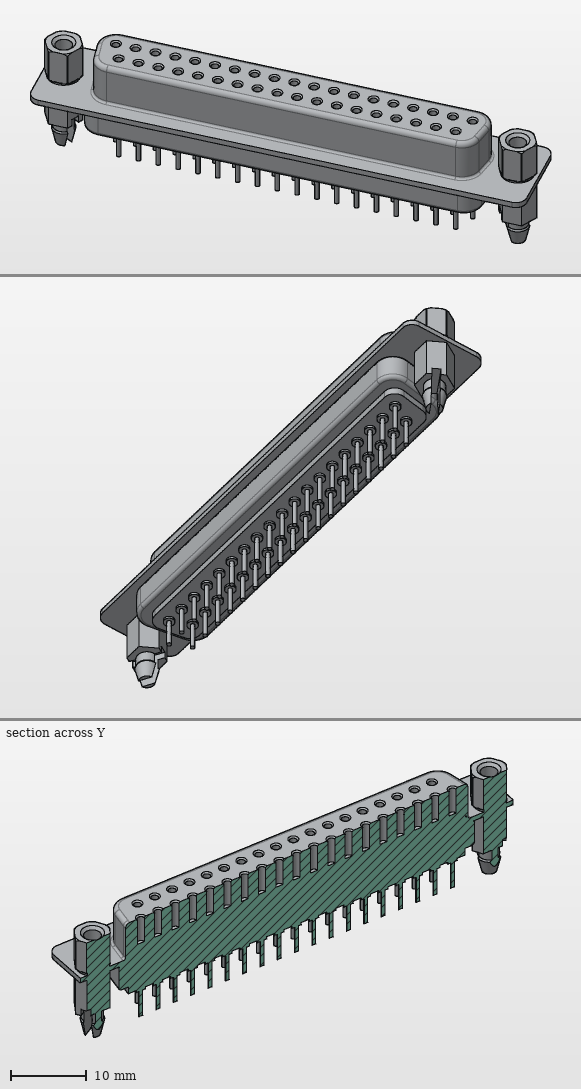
import cadquery as cq
import math


FLANGE_LENGTH = 69.3
FLANGE_WIDTH = 12.55
FLANGE_THICKNESS = 0.8
FLANGE_CORNER_RADIUS = 1.5

END_SLOPE = math.radians(10)

SHELL_LENGTH = 54.5
SHELL_WIDTH = 7.75
SHELL_HEIGHT = 5.9
SHELL_CORNER_RADIUS = 2.55
SHELL_TOP_ROUNDING = 0.7
SHELL_FLARE = 0.35

REAR_LENGTH = 56.55
REAR_WIDTH = 10.55
REAR_DEPTH = 4.8
REAR_CORNER_RADIUS = 2.6
REAR_LOWER_ROUNDING = 0.55
REAR_UPPER_ROUNDING = 0.2

INSULATOR_LENGTH = 53.45
INSULATOR_WIDTH = 6.9
INSULATOR_DEPTH = 5.9
INSULATOR_CORNER_RADIUS = 1.65

CONTACT_PITCH = 2.8
LONG_ROW_COUNT = 19
ROW_SPACING = 2.85
SOCKET_DIAMETER = 1.05
SOCKET_MOUTH_DIAMETER = 1.45
SOCKET_DEPTH = 4.15
PIN_DIAMETER = 0.6
PIN_END_DEPTH = 10.4
PIN_BOSS_DIAMETER = 1.5
PIN_BOSS_HEIGHT = 0.35

POST_SPACING = 63.5
NUT_ACROSS_FLATS = 4.7
NUT_TOP = 5.4
NUT_CORNER_DIAMETER = 5.35
NUT_EDGE_CHAMFER = 0.2
NUT_COLLAR_DIAMETER = 4.6
NUT_COLLAR_HEIGHT = 0.35
THREAD_DIAMETER = 2.35
THREAD_MOUTH_DIAMETER = 3.2
THREAD_DEPTH = 4.15
DRILL_POINT_ANGLE = 118
STANDOFF_ACROSS_FLATS = 4.65
STANDOFF_DEPTH = 6.9
PEG_NECK_DIAMETER = 3.0
PEG_NECK_END_DEPTH = 8.45
PEG_BARB_DIAMETER = 3.25
PEG_BARB_DEPTH = 8.7
PEG_TIP_DIAMETER = 2.2
PEG_TIP_DEPTH = 11.1
PEG_SLOT_WIDTH = 1.2
PEG_SLOT_TOP_DEPTH = 5.9
PEG_SLOT_ANGLE = -30


def d_body(length, width, corner_radius, bottom, top):
    """Prism with a rounded D outline, longer along its +Y side."""
    lean = width / 2 * math.tan(END_SLOPE)
    long_half = length / 2 + lean
    short_half = length / 2 - lean
    corners = [
        (-long_half, width / 2),
        (long_half, width / 2),
        (short_half, -width / 2),
        (-short_half, -width / 2),
    ]
    prism = cq.Workplane("XY").workplane(offset=bottom).polyline(corners).close().extrude(top - bottom)
    return prism.edges("|Z").fillet(corner_radius)


def cylinder(diameter, bottom, top):
    return cq.Workplane("XY").workplane(offset=bottom).circle(diameter / 2).extrude(top - bottom)


def hexagon(across_flats, bottom, top):
    across_corners = across_flats / math.cos(math.radians(30))
    return cq.Workplane("XY").workplane(offset=bottom).polygon(6, across_corners).extrude(top - bottom)


def revolved(profile):
    """Solid turned about Z from a closed outline of (radius, z) points."""
    return cq.Workplane("XZ").polyline(profile).close().revolve(360, (0, 0, 0), (0, 1, 0))


def flange():
    plate = cq.Workplane("XY").box(
        FLANGE_LENGTH, FLANGE_WIDTH, FLANGE_THICKNESS, centered=(True, True, False)
    )
    plate = plate.edges("|Z").fillet(FLANGE_CORNER_RADIUS)
    return plate.translate((0, 0, -FLANGE_THICKNESS))


def upper_shell():
    shell = d_body(SHELL_LENGTH, SHELL_WIDTH, SHELL_CORNER_RADIUS, -FLANGE_THICKNESS, SHELL_HEIGHT)
    return shell.faces(">Z").edges().fillet(SHELL_TOP_ROUNDING)


def flanged_shell():
    """Flange and upper shell, joined by a concave rounding around the foot of the shell."""
    joined = flange().union(upper_shell())
    margin = 0.1
    foot_edges = cq.selectors.BoxSelector(
        (-FLANGE_LENGTH / 2 + margin, -FLANGE_WIDTH / 2 + margin, -margin),
        (FLANGE_LENGTH / 2 - margin, FLANGE_WIDTH / 2 - margin, margin),
        boundingbox=True,
    )
    return joined.edges(foot_edges).fillet(SHELL_FLARE)


def rear_shell():
    shell = d_body(REAR_LENGTH, REAR_WIDTH, REAR_CORNER_RADIUS, -REAR_DEPTH, -FLANGE_THICKNESS)
    shell = shell.faces("<Z").edges().fillet(REAR_LOWER_ROUNDING)
    return shell.faces(">Z").edges().fillet(REAR_UPPER_ROUNDING)


def insulator():
    return d_body(
        INSULATOR_LENGTH, INSULATOR_WIDTH, INSULATOR_CORNER_RADIUS, -INSULATOR_DEPTH, -REAR_DEPTH
    )


def contact_positions():
    positions = []
    for count, y in ((LONG_ROW_COUNT, ROW_SPACING / 2), (LONG_ROW_COUNT - 1, -ROW_SPACING / 2)):
        first_x = -(count - 1) * CONTACT_PITCH / 2
        positions += [(first_x + i * CONTACT_PITCH, y) for i in range(count)]
    return positions


def at_contacts(shape):
    """One copy of a shape at every contact, as a single compound."""
    solid = shape.val()
    copies = [solid.translate(cq.Vector(x, y, 0)) for x, y in contact_positions()]
    return cq.Workplane(obj=cq.Compound.makeCompound(copies))


def pin():
    boss = cylinder(PIN_BOSS_DIAMETER, -INSULATOR_DEPTH - PIN_BOSS_HEIGHT, -INSULATOR_DEPTH)
    return boss.union(cylinder(PIN_DIAMETER, -PIN_END_DEPTH, -INSULATOR_DEPTH))


def socket_hole():
    radius = SOCKET_DIAMETER / 2
    mouth = SOCKET_MOUTH_DIAMETER / 2
    return revolved([
        (0, SHELL_HEIGHT - SOCKET_DEPTH),
        (radius, SHELL_HEIGHT - SOCKET_DEPTH),
        (radius, SHELL_HEIGHT - (mouth - radius)),
        (mouth, SHELL_HEIGHT),
        (0, SHELL_HEIGHT),
    ])


def threaded_hole():
    radius = THREAD_DIAMETER / 2
    mouth = THREAD_MOUTH_DIAMETER / 2
    floor = NUT_TOP - THREAD_DEPTH
    point_depth = radius / math.tan(math.radians(DRILL_POINT_ANGLE / 2))
    return revolved([
        (0, floor - point_depth),
        (radius, floor),
        (radius, NUT_TOP - (mouth - radius)),
        (mouth, NUT_TOP),
        (0, NUT_TOP),
    ])


def nut():
    blank = cylinder(NUT_CORNER_DIAMETER, NUT_COLLAR_HEIGHT, NUT_TOP)
    blank = blank.faces("<Z or >Z").edges().chamfer(NUT_EDGE_CHAMFER)
    body = hexagon(NUT_ACROSS_FLATS, NUT_COLLAR_HEIGHT, NUT_TOP).intersect(blank)
    return body.union(cylinder(NUT_COLLAR_DIAMETER, 0, NUT_COLLAR_HEIGHT)).cut(threaded_hole())


def split_peg():
    standoff = hexagon(STANDOFF_ACROSS_FLATS, -STANDOFF_DEPTH, -FLANGE_THICKNESS)
    peg = revolved([
        (0, -STANDOFF_DEPTH),
        (PEG_NECK_DIAMETER / 2, -STANDOFF_DEPTH),
        (PEG_NECK_DIAMETER / 2, -PEG_NECK_END_DEPTH),
        (PEG_BARB_DIAMETER / 2, -PEG_BARB_DEPTH),
        (PEG_TIP_DIAMETER / 2, -PEG_TIP_DEPTH),
        (0, -PEG_TIP_DEPTH),
    ])
    slot = cq.Workplane("XY").box(
        2 * STANDOFF_ACROSS_FLATS,
        PEG_SLOT_WIDTH,
        PEG_TIP_DEPTH - PEG_SLOT_TOP_DEPTH,
        centered=(True, True, False),
    )
    slot = slot.translate((0, 0, -PEG_TIP_DEPTH)).rotate((0, 0, 0), (0, 0, 1), PEG_SLOT_ANGLE)
    return standoff.union(peg).cut(slot)


result = flanged_shell().union(rear_shell()).union(insulator())

left_nut = nut().translate((-POST_SPACING / 2, 0, 0))
left_peg = split_peg().translate((-POST_SPACING / 2, 0, 0))
for post_piece in (left_nut, left_peg):
    result = result.union(post_piece).union(post_piece.mirror("YZ"))

result = result.cut(at_contacts(socket_hole()))
for x, y in contact_positions():
    result = result.union(pin().translate((x, y, 0)))